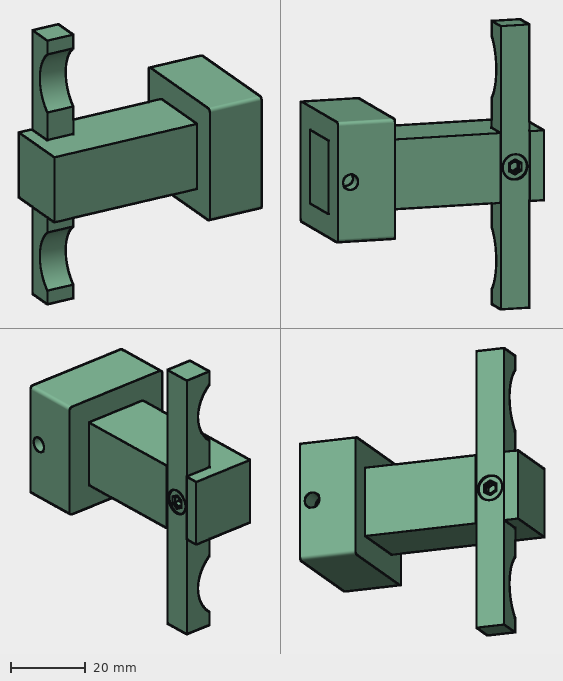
import cadquery as cq
import math


block_side = 32.7
block_depth = 16.0
block_edge_radius = 1.0
side_hole_diameter = 4.2
side_hole_from_back = 3.5

plate_back_width = 16.0
plate_height = 20.0
plate_depth = 7.0
plate_flank_angle = 34.5

arm_side = 19.0
total_depth = 60.0
arm_length = total_depth - block_depth

bar_side = 8.0
bar_length = 77.0
cradle_radius = 11.0
cradle_sag = 4.0
cradle_offset = 26.0

slot_gap = 0.1
slot_width = bar_side + 2 * slot_gap
slot_from_tip = 4.0
slot_depth = 8.2

head_diameter = 6.9
head_height = 4.0
head_edge_radius = 0.5
shank_diameter = 4.0
shank_length = 12.0
socket_flats = 2.6
socket_mouth_flats = 3.5
socket_depth = 2.0
socket_bevel_depth = 0.4
corners_per_flats = 2 / math.sqrt(3)

arm_left = -arm_side / 2
slot_floor = arm_left + slot_depth
bar_left = slot_floor - bar_side
shank_start = bar_left + head_height
bar_y = -total_depth + slot_from_tip + slot_width / 2


def box_at(size, center):
    """Box with the given X, Y, Z sizes around a centre point."""
    return cq.Workplane("XY").box(*size).translate(center)


def rod_along_x(diameter, start_x, length, y):
    """Cylinder at Z = 0, running from start_x toward +X."""
    return cq.Workplane("YZ", origin=(start_x, y, 0)).circle(diameter / 2).extrude(length)


def make_wall_plate():
    back_half = plate_back_width / 2
    front_half = back_half + plate_depth * math.tan(math.radians(plate_flank_angle))
    outline = [
        (-back_half, 0),
        (back_half, 0),
        (front_half, -plate_depth),
        (-front_half, -plate_depth),
    ]
    return cq.Workplane("XY").polyline(outline).close().extrude(plate_height / 2, both=True)


def make_block(wall_plate):
    body = box_at((block_side, block_depth, block_side), (0, -block_depth / 2, 0))
    body = body.edges("|Y").fillet(block_edge_radius)
    side_hole = rod_along_x(side_hole_diameter, -block_side / 2, block_side / 2, -side_hole_from_back)
    return body.cut(wall_plate).cut(side_hole)


def make_arm():
    beam = box_at((arm_side, arm_length, arm_side), (0, -block_depth - arm_length / 2, 0))
    slot = box_at((slot_depth, slot_width, arm_side), (arm_left + slot_depth / 2, bar_y, 0))
    shank_hole = rod_along_x(shank_diameter, shank_start, shank_length, bar_y)
    return beam.cut(slot).cut(shank_hole)


def make_bar():
    body = box_at((bar_side, bar_side, bar_length), (bar_left + bar_side / 2, bar_y, 0))
    cradle_x = slot_floor - cradle_sag + cradle_radius
    for end in (-1, 1):
        cradle = (
            cq.Workplane("XZ", origin=(cradle_x, bar_y, end * cradle_offset))
            .circle(cradle_radius)
            .extrude(bar_side, both=True)
        )
        body = body.cut(cradle)
    head_seat = rod_along_x(head_diameter, bar_left, head_height, bar_y)
    shank_hole = rod_along_x(shank_diameter, shank_start, shank_length, bar_y)
    return body.cut(head_seat).cut(shank_hole)


def make_screw():
    head = rod_along_x(head_diameter, bar_left, head_height, bar_y)
    head = head.faces("<X").edges().fillet(head_edge_radius)
    shank = rod_along_x(shank_diameter, shank_start, shank_length, bar_y)
    face = cq.Workplane("YZ", origin=(bar_left, bar_y, 0)).transformed(rotate=(0, 0, 90))
    socket = face.polygon(6, socket_flats * corners_per_flats).extrude(socket_depth)
    bevel = (
        face.polygon(6, socket_mouth_flats * corners_per_flats)
        .workplane(offset=socket_bevel_depth)
        .polygon(6, socket_flats * corners_per_flats)
        .loft(ruled=True)
    )
    return head.union(shank).cut(socket).cut(bevel)


wall_plate = make_wall_plate()
block = make_block(wall_plate)
arm = make_arm()
bar = make_bar()
screw = make_screw()

result = cq.Compound.makeCompound(
    [block.val(), wall_plate.val(), arm.val(), bar.val(), screw.val()]
)